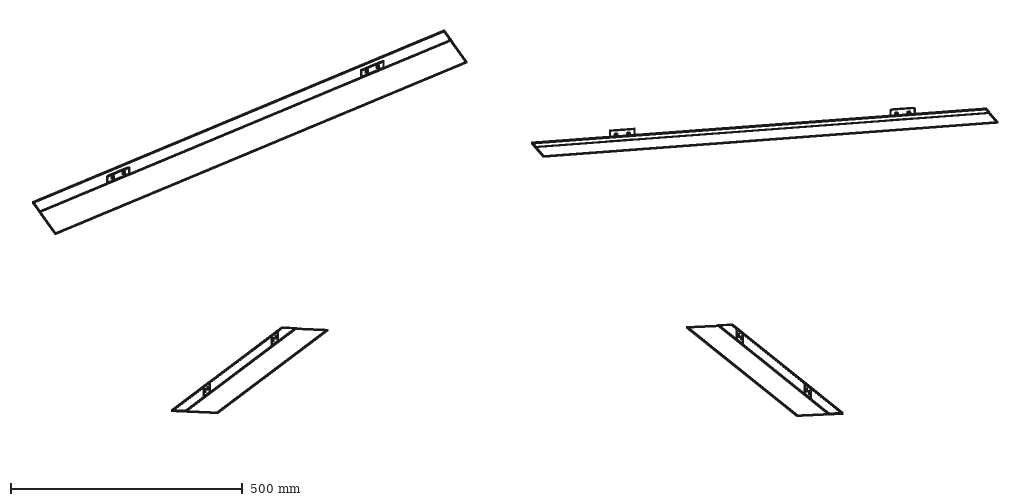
import cadquery as cq

sheet_width = 100.0
sheet_length = 1010.0
sheet_thickness = 1.0

fold_width = 30.0
fold_edge_x = -sheet_width / 2 + fold_width

total_height = 25.0
tab_length = 55.0
tab_spacing = 624.0
tab_corner_radius = 4.0

hole_diameter = 6.0
hole_spacing = 27.0
hole_height = 14.0


def make_sheet():
    """Flat sheet with a second layer along its -X side."""
    sheet = cq.Workplane("XY").box(
        sheet_width, sheet_length, sheet_thickness, centered=(True, True, False)
    )
    fold = (
        cq.Workplane("XY")
        .box(fold_width, sheet_length, 2 * sheet_thickness, centered=(False, True, False))
        .translate((-sheet_width / 2, 0, 0))
    )
    return sheet.union(fold)


def make_tab(center_y, corner_radius):
    """Upright plate with two holes along X; a zero radius leaves its top corners square."""
    tab = cq.Workplane("XY").box(
        sheet_thickness, tab_length, total_height, centered=(False, True, False)
    )
    if corner_radius > 0:
        tab = tab.edges("|X and >Z").fillet(corner_radius)
    holes = (
        cq.Workplane("YZ")
        .pushPoints([(side * hole_spacing / 2, hole_height) for side in (-1, 1)])
        .circle(hole_diameter / 2)
        .extrude(sheet_thickness)
    )
    return tab.cut(holes).translate((fold_edge_x - sheet_thickness, center_y, 0))


square_tab = make_tab(tab_spacing / 2, 0)
rounded_tab = make_tab(-tab_spacing / 2, tab_corner_radius)

result = make_sheet().union(square_tab).union(rounded_tab)